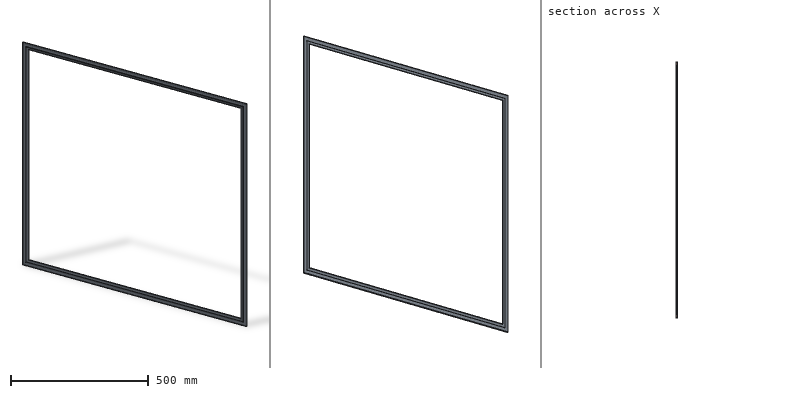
import cadquery as cq

outer_side = 928.0
thickness = 6.0
frame_width = 25.0

border_width = 14.0
ledge_depth = 4.0

outer_edge_radius = 1.25
step_edge_radius = 0.5
opening_edge_radius = 1.25

front_y = -thickness / 2
ledge_y = front_y + ledge_depth
opening_side = outer_side - 2 * frame_width
ledge_side = outer_side - 2 * border_width


def square_slab(side, depth):
    """Square slab centred on the Y axis, running from the front face towards +Y."""
    return cq.Workplane("XY").box(side, depth, side).translate((0, front_y + depth / 2, 0))


def round_square_edge(body, side, y, radius):
    """Round the four edges of the square of the given side that lie at height y."""
    clearance = 0.1
    reach = side / 2 + clearance
    edges_at_square = cq.selectors.BoxSelector(
        (-reach, y - clearance, -reach),
        (reach, y + clearance, reach),
    )
    return body.edges(edges_at_square).fillet(radius)


def stepped_frame():
    """Plate with a rounded outer front edge, recessed ledge and through opening."""
    plate = square_slab(outer_side, thickness)
    plate = round_square_edge(plate, outer_side, front_y, outer_edge_radius)
    ledge_recess = square_slab(ledge_side, ledge_depth)
    opening = square_slab(opening_side, thickness)
    return plate.cut(ledge_recess).cut(opening)


frame = stepped_frame()
frame = round_square_edge(frame, ledge_side, front_y, step_edge_radius)
result = round_square_edge(frame, opening_side, ledge_y, opening_edge_radius)